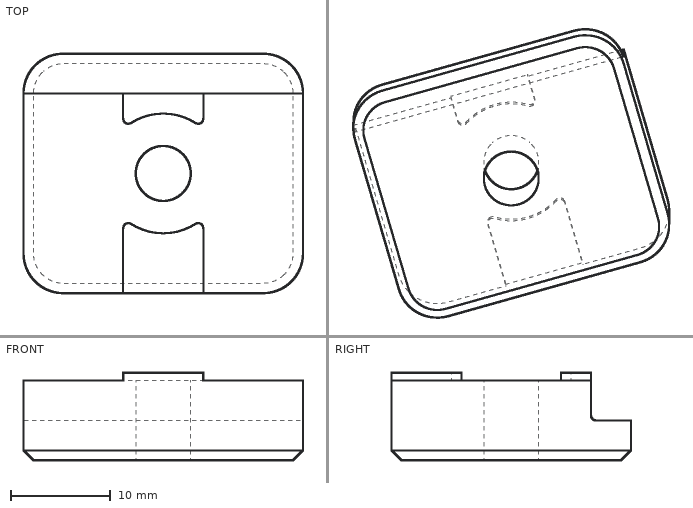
import cadquery as cq

length = 28.0
width = 24.0
total_height = 8.8
pad_height = 0.78
body_height = total_height - pad_height
corner_radius = 4.0
bottom_chamfer = 1.0

ledge_depth = 4.0
ledge_height = 4.0
ledge_fillet = 0.5
ledge_wall_y = width / 2 - ledge_depth

hole_diameter = 5.5
pad_width = 8.0
pad_clearance_radius = 6.0
pad_tip_radius = 0.5


def make_body():
    """Rounded block with a chamfered bottom rim, standing on Z = 0."""
    return (
        cq.Workplane("XY")
        .box(length, width, body_height, centered=(True, True, False))
        .edges("|Z")
        .fillet(corner_radius)
        .faces("<Z")
        .chamfer(bottom_chamfer)
    )


def make_ledge_cutter():
    """Volume above the ledge, rounded where the floor meets the wall."""
    return (
        cq.Workplane("XY")
        .box(length, ledge_depth, body_height - ledge_height, centered=(True, False, False))
        .edges("<Y and <Z")
        .fillet(ledge_fillet)
        .translate((0, ledge_wall_y, ledge_height))
    )


def make_pads():
    """Raised strip split by a round clearance concentric with the hole."""
    strip_length = width / 2 + ledge_wall_y
    strip_center_y = (ledge_wall_y - width / 2) / 2
    strip = (
        cq.Workplane("XY", origin=(0, strip_center_y, body_height))
        .rect(pad_width, strip_length)
        .extrude(pad_height)
    )
    clearance = (
        cq.Workplane("XY", origin=(0, 0, body_height))
        .circle(pad_clearance_radius)
        .extrude(pad_height)
    )
    tip_zone = cq.selectors.BoxSelector(
        (-pad_width, -pad_clearance_radius, body_height),
        (pad_width, pad_clearance_radius, total_height),
    )
    pads = strip.cut(clearance)
    return pads.edges("|Z").edges(tip_zone).fillet(pad_tip_radius)


hole = cq.Workplane("XY").circle(hole_diameter / 2).extrude(total_height)

result = make_body().cut(make_ledge_cutter()).union(make_pads()).cut(hole)